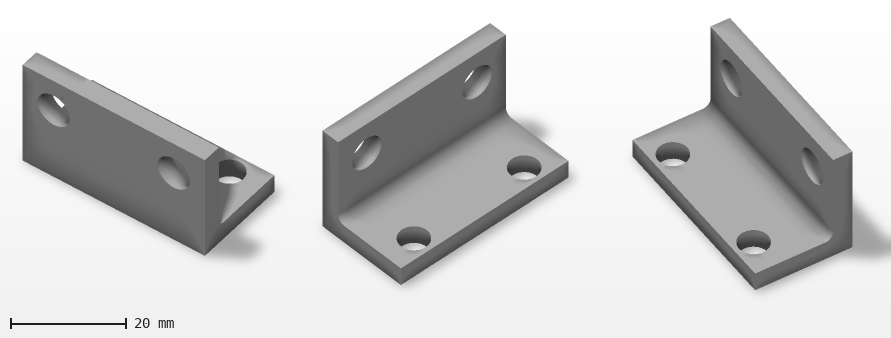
import cadquery as cq

length = 39.5
depth = 20.0
height = 23.0
thickness = 4.0
inner_radius = 1.58

hole_spacing = 26.0
wall_hole_diameter = 7.0
wall_hole_from_top = 7.0
base_hole_diameter = 6.0
base_hole_from_back = 4.0


def make_angle():
    """L-shaped body with its outer corner on the X axis, centred along X."""
    base = cq.Workplane("XY").box(length, depth, thickness, centered=(True, False, False))
    wall = cq.Workplane("XY").box(length, thickness, height, centered=(True, False, False))
    inner_corner = cq.selectors.NearestToPointSelector((0, thickness, thickness))
    return base.union(wall).edges("|X").edges(inner_corner).fillet(inner_radius)


def make_hole_cutters(plane, across, diameter, cut_depth):
    """Pair of cylinders along the plane normal, spaced symmetrically in X."""
    centers = [(side * hole_spacing / 2, across) for side in (-1, 1)]
    return cq.Workplane(plane).pushPoints(centers).circle(diameter / 2).extrude(cut_depth)


wall_holes = make_hole_cutters("XZ", height - wall_hole_from_top, wall_hole_diameter, -thickness)
base_holes = make_hole_cutters("XY", depth - base_hole_from_back, base_hole_diameter, thickness)

result = make_angle().cut(wall_holes).cut(base_holes)